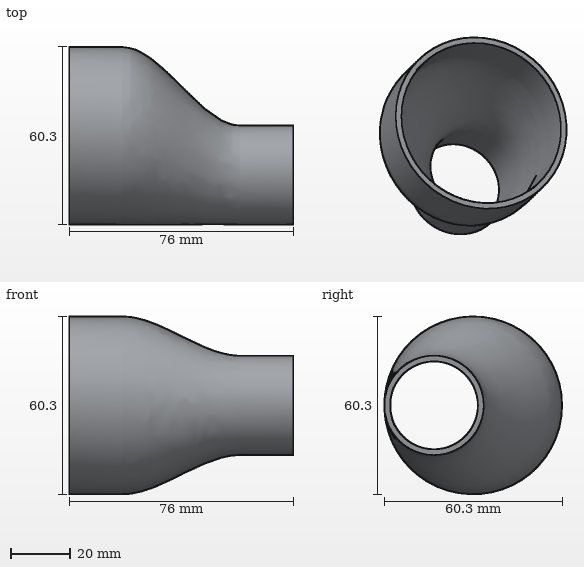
import cadquery as cq

large_diameter = 60.3
small_diameter = 33.7
wall = 2.0
total_length = 76.0
collar_length = 18.0
loft_steps = 8

transition_length = total_length - 2 * collar_length
flat_side_y = -large_diameter / 2


def s_curve(fraction):
    """Ease from 0 to 1 with zero slope at both ends."""
    return fraction**2 * (3 - 2 * fraction)


def cylinder(start_x, radius, center_y):
    """Straight collar of one end, running along +X."""
    return cq.Workplane("YZ", origin=(start_x, center_y, 0)).circle(radius).extrude(collar_length)


def transition(large_radius, small_radius, side_y):
    """Smooth loft through circles that all touch the line y = side_y."""
    sections = []
    for step in range(loft_steps + 1):
        fraction = step / loft_steps
        radius = large_radius - (large_radius - small_radius) * s_curve(fraction)
        center = cq.Vector(collar_length + transition_length * fraction, side_y + radius, 0)
        circle = cq.Edge.makeCircle(radius, center, cq.Vector(1, 0, 0))
        sections.append(cq.Wire.assembleEdges([circle]))
    return cq.Workplane(cq.Solid.makeLoft(sections))


def reducer_body(inset):
    """Solid reducer whose surface lies `inset` inside the outer skin."""
    large_radius = large_diameter / 2 - inset
    small_radius = small_diameter / 2 - inset
    side_y = flat_side_y + inset
    large_collar = cylinder(0, large_radius, side_y + large_radius)
    small_collar = cylinder(total_length - collar_length, small_radius, side_y + small_radius)
    return large_collar.union(transition(large_radius, small_radius, side_y)).union(small_collar)


result = reducer_body(0).cut(reducer_body(wall))